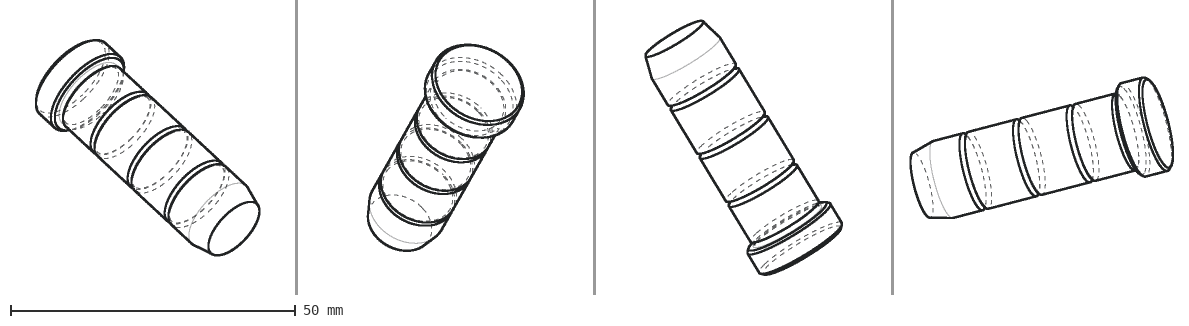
import cadquery as cq
import math

length = 44.0
head_diameter = 17.0
shaft_diameter = 14.0

head_thickness = 5.0
head_chamfer = 0.5

groove_width = 1.0
first_ring_center = 14.0
ring_pitch = 10.0
ring_count = 3

tip_length = 4.0
tip_angle = 15.0

head_radius = head_diameter / 2
shaft_radius = shaft_diameter / 2
groove_radius = groove_width / 2
tip_radius = shaft_radius - tip_length * math.tan(math.radians(tip_angle))

groove_centers = [head_thickness + groove_radius]
for ring in range(ring_count):
    groove_centers.append(first_ring_center + ring * ring_pitch)


def add_groove(profile, center):
    """Run along the shaft surface to a groove and follow its arc to the far edge."""
    start = center - groove_radius
    end = center + groove_radius
    return profile.lineTo(start, shaft_radius).threePointArc(
        (center, shaft_radius - groove_radius), (end, shaft_radius)
    )


profile = (
    cq.Workplane("XY")
    .moveTo(0, 0)
    .lineTo(0, head_radius - head_chamfer)
    .lineTo(head_chamfer, head_radius)
    .lineTo(head_thickness - head_chamfer, head_radius)
    .lineTo(head_thickness, head_radius - head_chamfer)
)
for groove_center in groove_centers:
    profile = add_groove(profile, groove_center)
profile = (
    profile.lineTo(length - tip_length, shaft_radius)
    .lineTo(length, tip_radius)
    .lineTo(length, 0)
    .close()
)

result = profile.revolve(360, (0, 0, 0), (1, 0, 0)).translate((-length / 2, 0, 0))